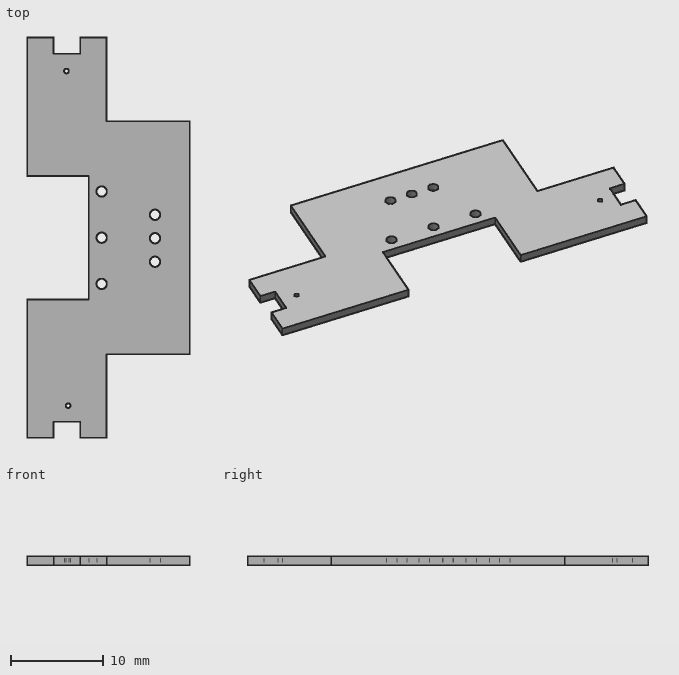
import cadquery as cq

length_x = 17.62
length_y = 43.34
thickness = 0.99

body_overhang = 9.0
arm_extension = 9.05
arm_width = length_x - body_overhang

opening_margin_y = 15.0
opening_depth = 6.65
opening_width = length_y - 2 * opening_margin_y

notch_width = arm_width / 3
notch_depth = 1.75

row_hole_diameter = 1.1
holes_per_row = 3
inner_row_x = -0.74
inner_row_y = 0.0
inner_row_pitch = 5.0
outer_row_x = 5.03
outer_row_y = -0.06
outer_row_pitch = 2.54

pin_hole_diameter = 0.49
pin_hole_centres = [(-4.55, 18.03), (-4.37, -18.17)]

left_x = -length_x / 2
end_y = length_y / 2
arm_centre_x = left_x + arm_width / 2


def make_plate():
    """Arms and body as one slab, before any cuts."""
    arms = (
        cq.Workplane("XY")
        .center(arm_centre_x, 0)
        .rect(arm_width, length_y)
        .extrude(thickness)
    )
    body = cq.Workplane("XY").rect(length_x, length_y - 2 * arm_extension).extrude(thickness)
    return arms.union(body)


def cut_side_opening(plate):
    cutter = (
        cq.Workplane("XY")
        .center(left_x + opening_depth / 2, 0)
        .rect(opening_depth, opening_width)
        .extrude(thickness)
    )
    return plate.cut(cutter)


def cut_end_notches(plate):
    for side in (1, -1):
        cutter = (
            cq.Workplane("XY")
            .center(arm_centre_x, side * (end_y - notch_depth / 2))
            .rect(notch_width, notch_depth)
            .extrude(thickness)
        )
        plate = plate.cut(cutter)
    return plate


def row_centres(x, middle_y, pitch):
    """Hole centres evenly spaced along Y about middle_y."""
    first_y = middle_y - pitch * (holes_per_row - 1) / 2
    return [(x, first_y + i * pitch) for i in range(holes_per_row)]


def cut_through_holes(plate, centres, diameter):
    cutter = cq.Workplane("XY").pushPoints(centres).circle(diameter / 2).extrude(thickness)
    return plate.cut(cutter)


inner_row = row_centres(inner_row_x, inner_row_y, inner_row_pitch)
outer_row = row_centres(outer_row_x, outer_row_y, outer_row_pitch)

result = make_plate()
result = cut_side_opening(result)
result = cut_end_notches(result)
result = cut_through_holes(result, inner_row + outer_row, row_hole_diameter)
result = cut_through_holes(result, pin_hole_centres, pin_hole_diameter)